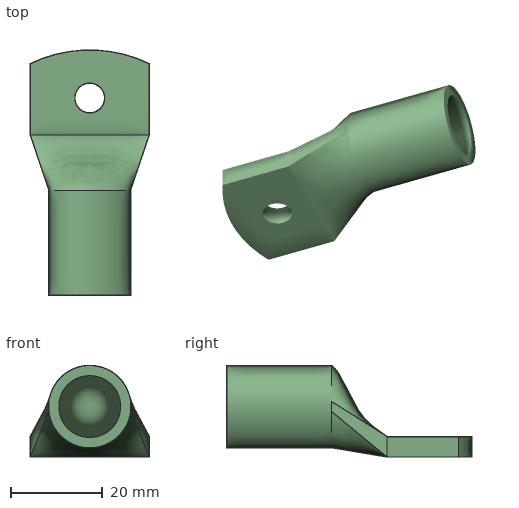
import cadquery as cq
import math

total_length = 53.5
total_height = 20.0

barrel_diameter = 18.0
bore_diameter = 13.5
barrel_length = 22.9
barrel_radius = barrel_diameter / 2
barrel_axis_z = total_height - barrel_radius

tongue_width = 26.0
tongue_thickness = 4.5
tongue_start = 35.0
tip_rise = 3.0
hole_diameter = 6.4
hole_to_tip = 10.5
half_width = tongue_width / 2

corner_angle = math.radians(7.0)
rim_half_width = barrel_radius * math.cos(corner_angle)
rim_corner_rise = barrel_radius * math.sin(corner_angle)

crown_profile = [(0, 0), (0.25, 0.14), (0.5, 0.35), (0.75, 0.71), (1, 1)]


def make_barrel():
    return (
        cq.Workplane("XZ", origin=(0, 0, barrel_axis_z))
        .circle(barrel_radius)
        .extrude(-barrel_length)
    )


def make_tongue():
    shoulder_y = total_length - tip_rise
    return (
        cq.Workplane("XY")
        .moveTo(-half_width, tongue_start)
        .lineTo(half_width, tongue_start)
        .lineTo(half_width, shoulder_y)
        .threePointArc((0, total_length), (-half_width, shoulder_y))
        .close()
        .extrude(tongue_thickness)
    )


def blend(start, end, fraction):
    return start + (end - start) * fraction


def make_section(along, crown_rise):
    """Closed section with straight flanks; top and bottom go from flat to the rim arcs."""
    y = blend(tongue_start, barrel_length, along)
    x = blend(half_width, rim_half_width, along)
    upper_z = blend(tongue_thickness, barrel_axis_z + rim_corner_rise, along)
    lower_z = blend(0, barrel_axis_z - rim_corner_rise, along)
    crown_z = blend(tongue_thickness, total_height, crown_rise)
    belly_z = blend(0, barrel_axis_z - barrel_radius, along)
    upper_right = cq.Vector(x, y, upper_z)
    upper_left = cq.Vector(-x, y, upper_z)
    lower_left = cq.Vector(-x, y, lower_z)
    lower_right = cq.Vector(x, y, lower_z)

    def bowed_edge(start, middle_z, end):
        if along == 0:
            return cq.Edge.makeLine(start, end)
        return cq.Edge.makeThreePointArc(start, cq.Vector(0, y, middle_z), end)

    return cq.Wire.assembleEdges(
        [
            bowed_edge(upper_right, crown_z, upper_left),
            cq.Edge.makeLine(upper_left, lower_left),
            bowed_edge(lower_left, belly_z, lower_right),
            cq.Edge.makeLine(lower_right, upper_right),
        ]
    )


def make_transition():
    """Smooth loft from the tongue's end rectangle to the barrel rim."""
    sections = [make_section(along, crown_rise) for along, crown_rise in crown_profile]
    return cq.Workplane(cq.Solid.makeLoft(sections))


bore = (
    cq.Workplane("XZ", origin=(0, 0, barrel_axis_z))
    .circle(bore_diameter / 2)
    .extrude(-barrel_length)
)
bolt_hole = (
    cq.Workplane("XY")
    .center(0, total_length - hole_to_tip)
    .circle(hole_diameter / 2)
    .extrude(tongue_thickness)
)

result = make_barrel().union(make_transition()).union(make_tongue()).cut(bore).cut(bolt_hole)